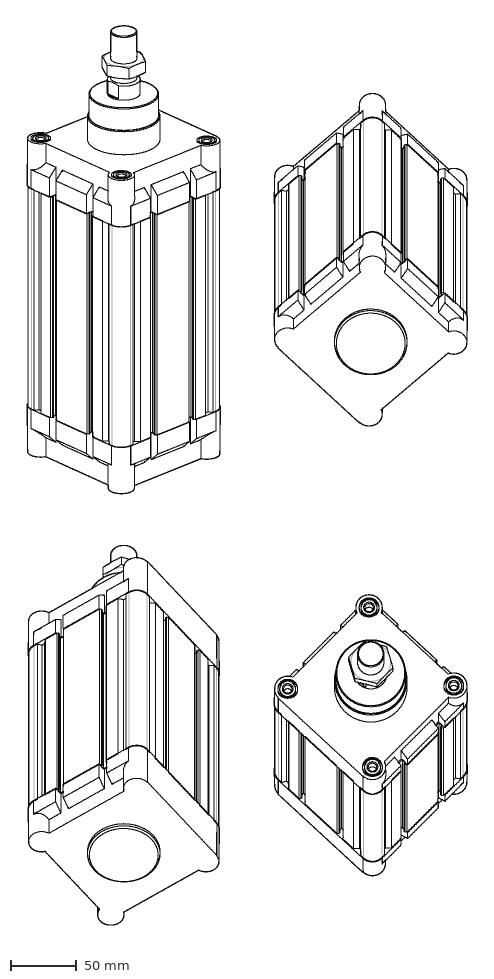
import cadquery as cq
import math

TOTAL_HEIGHT = 358.0

CAP_WIDTH = 110.0
CAP_HEIGHT = 39.0
SCREW_SPACING = 89.0
CAP_NECK_WIDTH = 96.3
SKIRT_HEIGHT = 16.0
BOSS_END_DIAMETER = 20.0
NOTCH_WIDTH = 7.0
NOTCH_OFFSET = 20.5

BARREL_WIDTH = 109.0
SLOT_OFFSET = 20.0
SLOT_MOUTH_WIDTH = 6.5
SLOT_THROAT_WIDTH = 4.3
SLOT_MOUTH_DEPTH = 1.0
SLOT_LIP_DEPTH = 2.0
SLOT_DEPTH = 5.5
SLOT_WIDTH = 7.0
GROOVE_MOUTH = (34.0, 41.5)
GROOVE_FLOOR = (37.2, 39.5)
GROOVE_DEPTH = 3.2

FOOT_HEIGHT = 4.0
COLLAR_DIAMETER = 55.0
COLLAR_HEIGHT = 20.0
BEARING_DIAMETER = 53.0
BEARING_HEIGHT = 18.5
BEARING_TOP_Z = 305.7
FOOT_CHAMFER = 1.5
COLLAR_CHAMFER = 0.7

SCREW_RECESS_DIAMETER = 15.0
SCREW_RECESS_DEPTH = 3.0
SCREW_HEAD_DIAMETER = 12.0
SCREW_COUNTERSINK_DIAMETER = 8.2
SCREW_SOCKET_DIAMETER = 6.5
SCREW_SOCKET_DEPTH = 10.7

ROD_DIAMETER = 25.0
FLATS_WIDTH = 22.2
FLATS_GAP = 1.0
SHOULDER_HEIGHT = 13.0
SHOULDER_BEVEL_HEIGHT = 1.0
THREAD_DIAMETER = 20.0
THREAD_TIP_DIAMETER = 18.5

NUT_WIDTH = 30.0
NUT_HEIGHT = 10.0
NUT_BOTTOM_Z = 325.0
NUT_CHAMFER_ANGLE = 15.0
HEXAGON_HALF_ANGLE = 30.0

half_cap = CAP_WIDTH / 2
half_barrel = BARREL_WIDTH / 2
half_neck = CAP_NECK_WIDTH / 2
screw_offset = SCREW_SPACING / 2
recess_depth = half_cap - half_neck
boss_base_radius = half_cap - screw_offset
collar_top_z = BEARING_TOP_Z - BEARING_HEIGHT
housing_top_z = collar_top_z - COLLAR_HEIGHT
barrel_bottom_z = FOOT_HEIGHT + CAP_HEIGHT
barrel_top_z = housing_top_z - CAP_HEIGHT
barrel_height = barrel_top_z - barrel_bottom_z
shoulder_top_z = BEARING_TOP_Z + SHOULDER_HEIGHT
screw_points = [(sx * screw_offset, sy * screw_offset) for sx in (-1, 1) for sy in (-1, 1)]


def cylinder(diameter, height, z):
    return cq.Workplane("XY").workplane(offset=z).circle(diameter / 2).extrude(height)


def square_block(width, height):
    return cq.Workplane("XY").rect(width, width).extrude(height)


def turned(shape, angle):
    return shape.rotate((0, 0, 0), (0, 0, 1), angle)


def cross_block(height):
    """Full cap width along X and Y, with square corners left out for the bosses."""
    bar = cq.Workplane("XY").rect(SCREW_SPACING, CAP_WIDTH).extrude(height)
    return bar.union(turned(bar, 90))


def make_cap():
    """End cap lying on Z = 0 with its outer face upwards; its +Y side is flat over the full height."""
    skirt = cross_block(SKIRT_HEIGHT)
    ramp = (
        cq.Workplane("XY")
        .rect(CAP_WIDTH, CAP_WIDTH)
        .workplane(offset=recess_depth)
        .rect(CAP_NECK_WIDTH, CAP_NECK_WIDTH)
        .loft(ruled=True)
        .intersect(cross_block(recess_depth))
        .translate((0, 0, SKIRT_HEIGHT))
    )
    neck = square_block(CAP_NECK_WIDTH, CAP_HEIGHT)
    flat_back = (
        cq.Workplane("XY")
        .center(0, half_cap / 2)
        .rect(SCREW_SPACING, half_cap)
        .extrude(CAP_HEIGHT)
    )
    cap = skirt.union(ramp).union(neck).union(flat_back)
    for x, y in screw_points:
        boss = cq.Solid.makeCone(boss_base_radius, BOSS_END_DIAMETER / 2, CAP_HEIGHT, cq.Vector(x, y, 0))
        cap = cap.union(cq.Workplane(obj=boss))
    notches = (
        cq.Workplane("XY")
        .pushPoints([(-NOTCH_OFFSET, -half_cap), (NOTCH_OFFSET, -half_cap)])
        .rect(NOTCH_WIDTH, 2 * recess_depth)
        .extrude(SKIRT_HEIGHT + recess_depth)
    )
    for angle in (0, 90, -90):
        cap = cap.cut(turned(notches, angle))
    return cap


def make_barrel():
    """Square barrel with two T-slots and two corner grooves along each side."""
    barrel = (
        square_block(BARREL_WIDTH, barrel_height)
        .edges("|Z")
        .fillet(half_barrel - screw_offset)
    )
    slot_wall = [
        (SLOT_MOUTH_WIDTH / 2, 0),
        (SLOT_THROAT_WIDTH / 2, SLOT_MOUTH_DEPTH),
        (SLOT_THROAT_WIDTH / 2, SLOT_LIP_DEPTH),
        (SLOT_WIDTH / 2, SLOT_LIP_DEPTH),
        (SLOT_WIDTH / 2, SLOT_DEPTH),
    ]
    opposite_wall = [(-x, depth) for x, depth in reversed(slot_wall)]
    slot = (
        cq.Workplane("XY")
        .polyline(slot_wall + opposite_wall)
        .close()
        .extrude(barrel_height)
        .translate((0, -half_barrel, 0))
    )
    groove = (
        cq.Workplane("XY")
        .moveTo(GROOVE_MOUTH[0], -half_barrel)
        .lineTo(GROOVE_MOUTH[1], -half_barrel)
        .lineTo(GROOVE_FLOOR[1], -half_barrel + GROOVE_DEPTH)
        .lineTo(GROOVE_FLOOR[0], -half_barrel + GROOVE_DEPTH)
        .close()
        .extrude(barrel_height)
    )
    side_cuts = [
        slot.translate((-SLOT_OFFSET, 0, 0)),
        slot.translate((SLOT_OFFSET, 0, 0)),
        groove,
        groove.mirror("YZ"),
    ]
    for angle in (0, 90, 180, 270):
        for side_cut in side_cuts:
            barrel = barrel.cut(turned(side_cut, angle))
    return barrel.translate((0, 0, barrel_bottom_z))


def cut_screw_details(housing):
    """Ring-shaped gap around each screw head and a countersunk socket in it."""
    gap = cylinder(SCREW_RECESS_DIAMETER, SCREW_RECESS_DEPTH, -SCREW_RECESS_DEPTH)
    head = cylinder(SCREW_HEAD_DIAMETER, SCREW_RECESS_DEPTH, -SCREW_RECESS_DEPTH)
    socket = cylinder(SCREW_SOCKET_DIAMETER, SCREW_SOCKET_DEPTH, -SCREW_SOCKET_DEPTH)
    countersink_depth = (SCREW_COUNTERSINK_DIAMETER - SCREW_SOCKET_DIAMETER) / 2
    countersink = cq.Solid.makeCone(
        SCREW_SOCKET_DIAMETER / 2, SCREW_COUNTERSINK_DIAMETER / 2, countersink_depth,
        cq.Vector(0, 0, -countersink_depth),
    )
    recess = gap.cut(head).union(socket).union(cq.Workplane(obj=countersink))
    for x, y in screw_points:
        housing = housing.cut(recess.translate((x, y, housing_top_z)))
    return housing


def make_housing():
    """Barrel between two mirrored caps, with a foot below and a stepped collar above."""
    top_cap = make_cap().translate((0, 0, barrel_top_z))
    bottom_cap = make_cap().mirror("XY").translate((0, 0, barrel_bottom_z))
    foot = cylinder(COLLAR_DIAMETER, FOOT_HEIGHT, 0).faces("<Z").chamfer(FOOT_CHAMFER)
    collar = cylinder(COLLAR_DIAMETER, COLLAR_HEIGHT, housing_top_z).faces(">Z").chamfer(COLLAR_CHAMFER)
    bearing = cylinder(BEARING_DIAMETER, BEARING_HEIGHT, collar_top_z).faces(">Z").chamfer(COLLAR_CHAMFER)
    housing = make_barrel().union(top_cap).union(bottom_cap).union(foot).union(collar).union(bearing)
    return cut_screw_details(housing)


def make_rod():
    """Rod standing on the bearing collar: shoulder with two flats, then the threaded end."""
    straight_height = SHOULDER_HEIGHT - SHOULDER_BEVEL_HEIGHT
    bevel = cq.Solid.makeCone(
        ROD_DIAMETER / 2, THREAD_DIAMETER / 2, SHOULDER_BEVEL_HEIGHT,
        cq.Vector(0, 0, BEARING_TOP_Z + straight_height),
    )
    shoulder = cylinder(ROD_DIAMETER, straight_height, BEARING_TOP_Z).union(cq.Workplane(obj=bevel))
    flats = (
        cq.Workplane("XY").workplane(offset=BEARING_TOP_Z + FLATS_GAP)
        .rect(ROD_DIAMETER, FLATS_WIDTH)
        .extrude(SHOULDER_HEIGHT - FLATS_GAP)
        .union(cylinder(ROD_DIAMETER, FLATS_GAP, BEARING_TOP_Z))
    )
    tip_chamfer = (THREAD_DIAMETER - THREAD_TIP_DIAMETER) / 2
    thread = (
        cylinder(THREAD_DIAMETER, TOTAL_HEIGHT - shoulder_top_z, shoulder_top_z)
        .faces(">Z")
        .chamfer(tip_chamfer)
    )
    return shoulder.intersect(flats).union(thread)


def make_nut():
    """Hexagon nut with corners on the Y axis, its corners bevelled at both ends."""
    corner_radius = NUT_WIDTH / 2 / math.cos(math.radians(HEXAGON_HALF_ANGLE))
    bevel = (corner_radius - NUT_WIDTH / 2) * math.tan(math.radians(NUT_CHAMFER_ANGLE))
    hexagon = cq.Workplane("XY").polygon(6, 2 * corner_radius).extrude(NUT_HEIGHT)
    hexagon = turned(hexagon, HEXAGON_HALF_ANGLE)
    envelope = (
        cq.Workplane("XZ")
        .moveTo(0, 0)
        .lineTo(NUT_WIDTH / 2, 0)
        .lineTo(corner_radius, bevel)
        .lineTo(corner_radius, NUT_HEIGHT - bevel)
        .lineTo(NUT_WIDTH / 2, NUT_HEIGHT)
        .lineTo(0, NUT_HEIGHT)
        .close()
        .revolve(360, (0, 0, 0), (0, 1, 0))
    )
    bore = cylinder(THREAD_DIAMETER, NUT_HEIGHT, 0)
    return hexagon.intersect(envelope).cut(bore).translate((0, 0, NUT_BOTTOM_Z))


housing = make_housing()
rod = make_rod()
nut = make_nut()
result = cq.Compound.makeCompound([housing.val(), rod.val(), nut.val()])